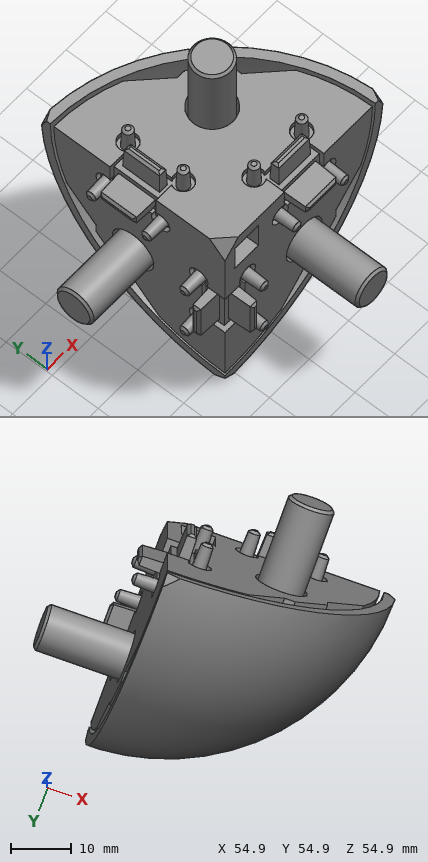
import cadquery as cq
import math


TOTAL_SIZE = 54.9
PIN_PROTRUSION = 15.0
TIP_REACH = TOTAL_SIZE - PIN_PROTRUSION
TIP_BEVEL = 1.15
DOME_RADIUS = math.sqrt(TIP_REACH**2 + 2 * TIP_BEVEL**2)
SHELL_THICKNESS = 2.0
SHELL_GAP = 0.75
SHELL_INNER_RADIUS = DOME_RADIUS - SHELL_THICKNESS
CORE_RADIUS = SHELL_INNER_RADIUS - SHELL_GAP

FLAT_SUM = 48.6
PAD_SUM = 50.45
PAD_SIDE = 28.05
CORNER_CHAMFER = 3.4

PIN_CENTRE = 20.0
PIN_DIAMETER = 8.0
PIN_HOLE_DIAMETER = 9.0
PIN_DEPTH = 10.0
PIN_CHAMFER = 0.5

CONTACT_HEIGHT = 4.0
RECESS_DEPTH = 1.0
RECESS_WIDTH = 10.0
RECESS_REACH = 5.0
CONTACT_TIP_HEIGHT = 0.45
BLADE_CENTRE = 3.0
BLADE_WIDTH = 8.0
BLADE_THICKNESS = 2.0
BLADE_TAPER = 0.15
BLADE_TIP_INSET = 0.55
PEG_CENTRE = 5.7
PEG_SPACING = 12.05
PEG_RECESS_DIAMETER = 4.0
PEG_BASE_DIAMETER = 2.45
PEG_SHOULDER_DIAMETER = 2.1
PEG_TIP_DIAMETER = 1.0

POST_DIAMETER = 5.0
POST_START = 8.0
POST_CHAMFER = 0.4
WINDOW_SIZE = 6.0
WINDOW_START = 2.45
WINDOW_DEPTH = 7.0

BUMP_BASE_DIAMETER = 5.5
BUMP_HEIGHT = 0.6
BUMP_CENTRE = 5.0

NOTCH_FLOOR_WIDTH = 4.0
NOTCH_SIDE_RUN = 1.0
NOTCH_DEPTH = 1.0

TOP = cq.Plane(origin=(0, 0, 0), xDir=(1, 0, 0), normal=(0, 0, 1))
FRONT = cq.Plane(origin=(0, 0, 0), xDir=(0, 0, -1), normal=(0, -1, 0))
LEFT = cq.Plane(origin=(0, 0, 0), xDir=(0, 1, 0), normal=(-1, 0, 0))
FACES = [TOP, FRONT, LEFT]

SWAPS = [False, True]

DIAGONAL = cq.Vector(1, 1, -1).normalized()


def on_face(face, u, v, height=0.0):
    """Workplane at a place on a face, at a height above it (negative is inside)."""
    return cq.Workplane(face).workplane(offset=height).center(u, v)


def octant(radius):
    """The eighth of a ball that fills +X, +Y and -Z."""
    corner_box = cq.Workplane("XY").box(radius, radius, radius, centered=False)
    return cq.Workplane("XY").sphere(radius).intersect(corner_box.translate((0, 0, -radius)))


def face_prism(face):
    """Outline of the core on one face, carried straight through the block."""
    outer = FLAT_SUM - CORE_RADIUS
    pad_foot = FLAT_SUM - PAD_SIDE
    pad_corner = PAD_SUM - PAD_SIDE
    outline = [
        (0, 0), (CORE_RADIUS, 0), (CORE_RADIUS, outer),
        (PAD_SIDE, pad_foot), (PAD_SIDE, pad_corner), (pad_corner, PAD_SIDE), (pad_foot, PAD_SIDE),
        (outer, CORE_RADIUS), (0, CORE_RADIUS),
    ]
    return cq.Workplane(face).polyline(outline).close().extrude(-CORE_RADIUS)


def half_space_block(point, normal):
    """Block on the outer side of a plane, big enough to trim a corner."""
    block_size = 4 * CORNER_CHAMFER
    plane = cq.Plane(origin=point, normal=normal)
    return cq.Workplane(plane).rect(block_size, block_size).extrude(block_size)


def corner_cut():
    """Block that chamfers the corner at the origin with equal legs."""
    third = CORNER_CHAMFER / 3
    return half_space_block((third, third, -third), (-1, -1, 1))


def contact_place(along, inward, swapped):
    """Face position of a point given along and away from the block edge of its group."""
    return (inward, along) if swapped else (along, inward)


def peg_positions():
    """Places of the two pegs of a group along the block edge."""
    return [PIN_CENTRE - PEG_SPACING / 2, PIN_CENTRE + PEG_SPACING / 2]


def contact_recess(face, swapped):
    """Shallow clearance recess around a blade and its two pegs, open at the block edge."""
    u, v = contact_place(PIN_CENTRE, RECESS_REACH / 2, swapped)
    width, reach = contact_place(RECESS_WIDTH, RECESS_REACH, swapped)
    recess = on_face(face, u, v).rect(width, reach).extrude(-RECESS_DEPTH)
    for along in peg_positions():
        u, v = contact_place(along, PEG_CENTRE, swapped)
        recess = recess.union(on_face(face, u, v).circle(PEG_RECESS_DIAMETER / 2).extrude(-RECESS_DEPTH))
    return recess


def blade(face, swapped):
    """Slightly tapered flat blade with a bevelled tip, standing on the recess floor."""
    u, v = contact_place(PIN_CENTRE, BLADE_CENTRE, swapped)
    width, thickness = contact_place(BLADE_WIDTH, BLADE_THICKNESS, swapped)
    shoulder_inset = 2 * BLADE_TAPER
    tip_inset = shoulder_inset + 2 * BLADE_TIP_INSET
    shaft_height = RECESS_DEPTH + CONTACT_HEIGHT - CONTACT_TIP_HEIGHT
    base = on_face(face, u, v, -RECESS_DEPTH).rect(width, thickness)
    shaft = base.workplane(offset=shaft_height).rect(width - shoulder_inset, thickness - shoulder_inset)
    shoulder = on_face(face, u, v, CONTACT_HEIGHT - CONTACT_TIP_HEIGHT)
    shoulder = shoulder.rect(width - shoulder_inset, thickness - shoulder_inset)
    tip = shoulder.workplane(offset=CONTACT_TIP_HEIGHT).rect(width - tip_inset, thickness - tip_inset)
    return shaft.loft(ruled=True).union(tip.loft(ruled=True))


def peg(face, along, swapped):
    """Slightly tapered round peg with a bevelled tip, standing on the recess floor."""
    u, v = contact_place(along, PEG_CENTRE, swapped)
    shoulder_height = CONTACT_HEIGHT - CONTACT_TIP_HEIGHT
    profile = [
        (0, -RECESS_DEPTH), (PEG_BASE_DIAMETER / 2, -RECESS_DEPTH),
        (PEG_SHOULDER_DIAMETER / 2, shoulder_height),
        (PEG_TIP_DIAMETER / 2, CONTACT_HEIGHT), (0, CONTACT_HEIGHT),
    ]
    turned = cq.Workplane("XZ").polyline(profile).close().revolve(360, (0, 0), (0, 1))
    seat = cq.Plane(origin=face.toWorldCoords((u, v)), xDir=face.xDir, normal=face.zDir)
    return cq.Workplane(turned.val().moved(seat.location))


def detent_bump():
    """Cone frustum with 45 degree flanks on the pad that faces +X and -Z."""
    pad_middle = PAD_SUM / 2
    plane = cq.Plane(origin=(pad_middle, BUMP_CENTRE, -pad_middle), normal=(1, 0, -1))
    base = cq.Workplane(plane).circle(BUMP_BASE_DIAMETER / 2)
    return base.workplane(offset=BUMP_HEIGHT).circle(BUMP_BASE_DIAMETER / 2 - BUMP_HEIGHT).loft()


def post():
    """Round post on the diagonal, from near the corner to inside the dome wall."""
    plane = cq.Plane(origin=(DIAGONAL * POST_START).toTuple(), normal=DIAGONAL.toTuple())
    length = SHELL_INNER_RADIUS + SHELL_THICKNESS / 2 - POST_START
    return cq.Workplane(plane).circle(POST_DIAMETER / 2).extrude(length)


def window():
    """Square pocket in the front face that opens onto the end of the post."""
    centre = WINDOW_START + WINDOW_SIZE / 2
    return on_face(FRONT, centre, centre).rect(WINDOW_SIZE, WINDOW_SIZE).extrude(-WINDOW_DEPTH)


def make_core():
    """Core with its pin holes, contact groups, window and post hole."""
    core = octant(CORE_RADIUS)
    for face in FACES:
        core = core.intersect(face_prism(face))
    core = core.cut(corner_cut())
    for face in FACES:
        pin_hole = on_face(face, PIN_CENTRE, PIN_CENTRE).circle(PIN_HOLE_DIAMETER / 2).extrude(-PIN_DEPTH)
        core = core.cut(pin_hole)
        for swapped in SWAPS:
            core = core.cut(contact_recess(face, swapped))
    for face in FACES:
        for swapped in SWAPS:
            core = core.union(blade(face, swapped))
            for along in peg_positions():
                core = core.union(peg(face, along, swapped))
    core = core.union(detent_bump())
    return core.cut(window()).cut(post())


def tip_bevel(face):
    """Block that blunts the dome tip opposite a face, half as steep along the axis as across it."""
    point = face.toWorldCoords((TIP_BEVEL, TIP_BEVEL, -TIP_REACH))
    normal = -face.xDir - face.yDir - face.zDir * 2
    return half_space_block(point.toTuple(), normal.toTuple())


def pry_notch():
    """Trapezoid notch across the top rim, half way round it."""
    half_floor = NOTCH_FLOOR_WIDTH / 2
    half_top = half_floor + NOTCH_SIDE_RUN
    across = cq.Plane(origin=(0, 0, 0), xDir=(-1, 1, 0), normal=(1, 1, 0))
    outline = [(-half_top, 0), (-half_floor, -NOTCH_DEPTH), (half_floor, -NOTCH_DEPTH), (half_top, 0)]
    return cq.Workplane(across).polyline(outline).close().extrude(DOME_RADIUS)


def make_shell():
    """Dome shell with blunted tips, a pry notch and the post that carries it on the core."""
    shell = octant(DOME_RADIUS).cut(cq.Workplane("XY").sphere(SHELL_INNER_RADIUS))
    for face in FACES:
        shell = shell.cut(tip_bevel(face))
    shell = shell.cut(pry_notch())
    free_end = cq.selectors.DirectionMinMaxSelector(DIAGONAL, False)
    return shell.union(post().faces(free_end).chamfer(POST_CHAMFER))


def make_pin(face):
    """Large round pin, standing on the floor of its hole, with a chamfered free end."""
    length = PIN_DEPTH + PIN_PROTRUSION
    pin = on_face(face, PIN_CENTRE, PIN_CENTRE, -PIN_DEPTH).circle(PIN_DIAMETER / 2).extrude(length)
    return pin.faces(cq.selectors.DirectionMinMaxSelector(face.zDir)).chamfer(PIN_CHAMFER)


core = make_core()
shell = make_shell()
pins = [make_pin(face) for face in FACES]

result = cq.Compound.makeCompound([core.val(), shell.val(), *[pin.val() for pin in pins]])